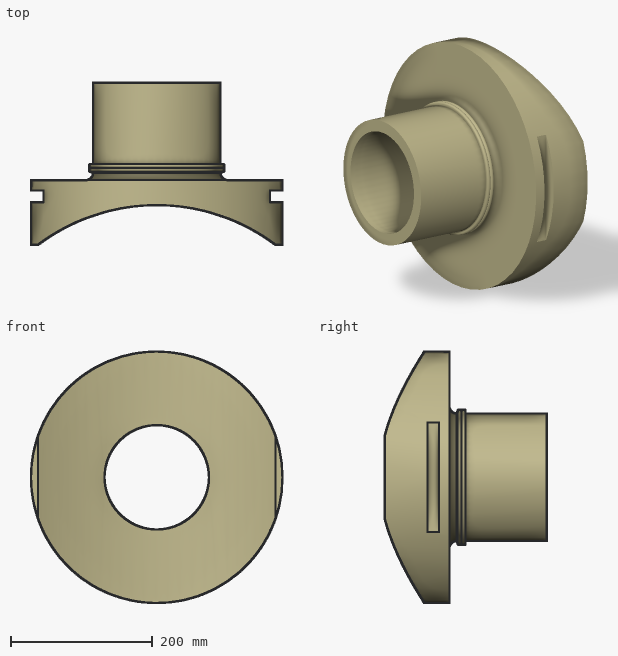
import cadquery as cq
import math

flange_radius = 177.5
flange_depth = 91.5
hollow_rise = 56.0
hollow_half_width = 167.5
hollow_radius = (hollow_half_width**2 + hollow_rise**2) / (2 * hollow_rise)

total_depth = 229.0
pipe_radius = 90.0
bore_radius = 73.5
fillet_radius = 10.0

bead_count = 2
bead_lead_in = 1.5
bead_start = flange_depth + fillet_radius + bead_lead_in
bead_width = 5.7
bead_round = bead_width / 2
bead_radius = 96.0

groove_front = 60.5
groove_width = 16.5
groove_floor = 159.8


def disc(radius, start, end):
    """Cylinder along Y between two positions."""
    return cq.Workplane("XZ", origin=(0, start, 0)).circle(radius).extrude(start - end)


def revolve_about_y(profile):
    """Full turn of an XY profile about the Y axis."""
    return profile.close().revolve(360, (0, 0, 0), (0, 1, 0))


def root_fillet():
    """Concave fillet between the pipe and the flange's rear face."""
    outer = pipe_radius + fillet_radius
    top = flange_depth + fillet_radius
    reach = fillet_radius * math.sqrt(0.5)
    profile = (
        cq.Workplane("XY")
        .moveTo(bore_radius, flange_depth)
        .lineTo(outer, flange_depth)
        .threePointArc((outer - reach, top - reach), (pipe_radius, top))
        .lineTo(bore_radius, top)
    )
    return revolve_about_y(profile)


def bead(start):
    """Ring with straight flanks and a semicircular crest."""
    end = start + bead_width
    shoulder = bead_radius - bead_round
    profile = (
        cq.Workplane("XY")
        .moveTo(bore_radius, start)
        .lineTo(shoulder, start)
        .threePointArc((bead_radius, start + bead_round), (shoulder, end))
        .lineTo(bore_radius, end)
    )
    return revolve_about_y(profile)


def lead_in():
    """Short cone from the end of the root fillet up to the first bead."""
    profile = (
        cq.Workplane("XY")
        .moveTo(bore_radius, bead_start - bead_lead_in)
        .lineTo(pipe_radius, bead_start - bead_lead_in)
        .lineTo(bead_radius - bead_round, bead_start)
        .lineTo(bore_radius, bead_start)
    )
    return revolve_about_y(profile)


def side_groove(side):
    """Cutter for the groove on one side; side is -1 or 1."""
    depth = flange_radius - groove_floor
    return cq.Workplane("XY").box(2 * depth, groove_width, 2 * flange_radius).translate(
        (side * flange_radius, groove_front + groove_width / 2, 0)
    )


body = disc(flange_radius, 0, flange_depth)
hollow = (
    cq.Workplane("XY")
    .center(0, hollow_rise - hollow_radius)
    .circle(hollow_radius)
    .extrude(flange_radius, both=True)
)
body = body.cut(hollow)
for side in (-1, 1):
    body = body.cut(side_groove(side))

body = body.union(disc(pipe_radius, flange_depth, total_depth))
body = body.union(root_fillet())
body = body.union(lead_in())
for index in range(bead_count):
    body = body.union(bead(bead_start + index * bead_width))

result = body.cut(disc(bore_radius, 0, total_depth))